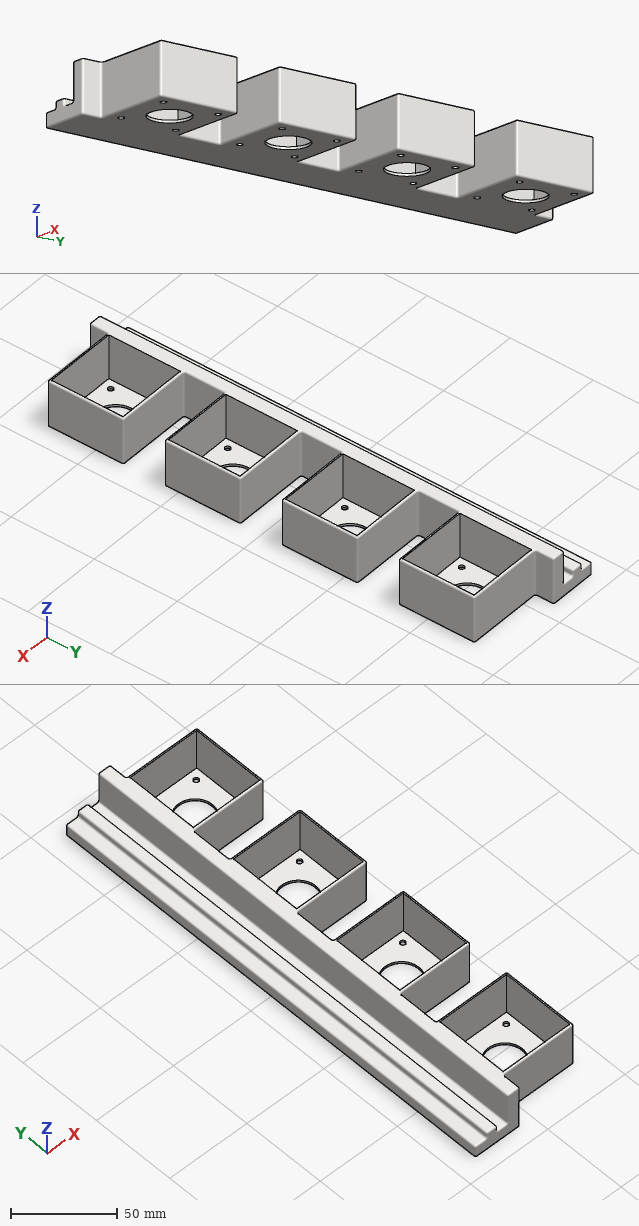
import cadquery as cq

rail_length = 279.6
rail_width = 28.8
rail_height = 28.0
ledge_height = 7.8
rib_left = 7.5
rib_width = 6.7
rib_height = 11.7
upright_thickness = 7.8

total_width = 74.5
box_count = 4
box_pitch = 70.5
box_side = 46.0
wall = 1.5
floor_thickness = 1.5

center_hole_diameter = 22.0
screw_hole_diameter = 3.0
screw_spacing = 32.5

edge_radius = 1.0

rib_right = rib_left + rib_width
upright_left = rail_width - upright_thickness
box_center_x = total_width - box_side / 2
first_box_y = -box_pitch * (box_count - 1) / 2
box_centers = [(box_center_x, first_box_y + i * box_pitch) for i in range(box_count)]
cavity_side = box_side - 2 * wall


def make_rail():
    """Rail cross-section in XZ, extruded equally to both sides along Y."""
    outline = [
        (0, 0),
        (rail_width, 0),
        (rail_width, rail_height),
        (upright_left, rail_height),
        (upright_left, ledge_height),
        (rib_right, ledge_height),
        (rib_right, rib_height),
        (rib_left, rib_height),
        (rib_left, ledge_height),
        (0, ledge_height),
    ]
    return cq.Workplane("XZ").polyline(outline).close().extrude(rail_length / 2, both=True)


def make_square_blocks(side, bottom):
    """One square block at every box place, from bottom up to the rail top."""
    base = cq.Workplane("XY").workplane(offset=bottom).pushPoints(box_centers)
    return base.rect(side, side).extrude(rail_height - bottom)


def make_floor_holes():
    """Central opening and four screw holes for every box."""
    screw_offset = screw_spacing / 2
    screw_centers = [
        (x + side_x * screw_offset, y + side_y * screw_offset)
        for x, y in box_centers
        for side_x in (-1, 1)
        for side_y in (-1, 1)
    ]
    openings = cq.Workplane("XY").pushPoints(box_centers).circle(center_hole_diameter / 2)
    screws = cq.Workplane("XY").pushPoints(screw_centers).circle(screw_hole_diameter / 2)
    return openings.extrude(floor_thickness).add(screws.extrude(floor_thickness)).combine()


body = make_rail().union(make_square_blocks(box_side, 0))
body = body.edges().fillet(edge_radius)
body = body.cut(make_square_blocks(cavity_side, floor_thickness))
result = body.cut(make_floor_holes())